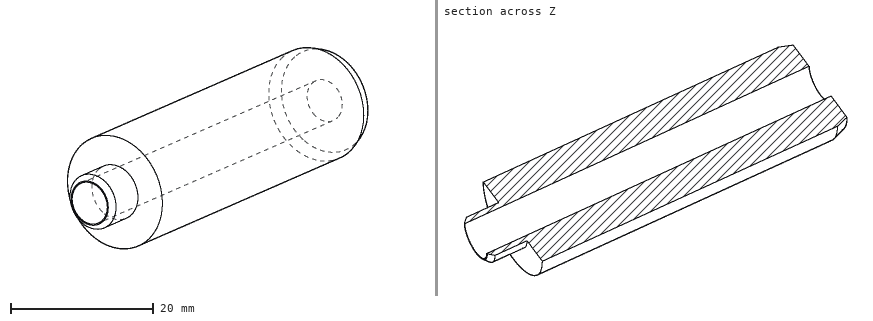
import cadquery as cq

total_length = 56.0
body_diameter = 16.5
spigot_diameter = 8.0
spigot_length = 6.0
bore_diameter = 6.1

body_bevel_length = 2.0
body_bevel_depth = 0.7
spigot_bevel = 0.8

body_radius = body_diameter / 2
spigot_radius = spigot_diameter / 2
bore_radius = bore_diameter / 2
front_y = -total_length / 2
back_y = total_length / 2
shoulder_y = front_y + spigot_length

half_section = [
    (bore_radius, front_y),
    (spigot_radius - spigot_bevel, front_y),
    (spigot_radius, front_y + spigot_bevel),
    (spigot_radius, shoulder_y),
    (body_radius, shoulder_y),
    (body_radius, back_y - body_bevel_length),
    (body_radius - body_bevel_depth, back_y),
    (bore_radius, back_y),
]

result = cq.Workplane("XY").polyline(half_section).close().revolve(360, (0, 0, 0), (0, 1, 0))